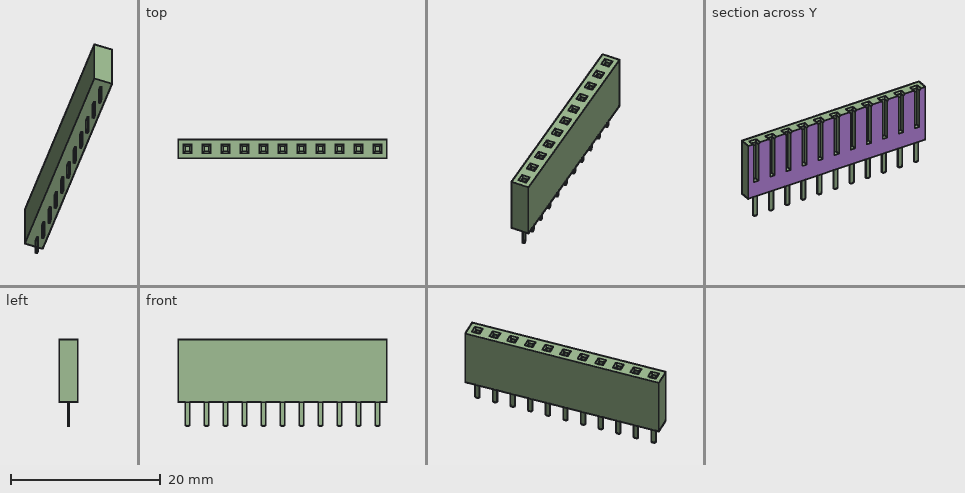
import cadquery as cq

contact_count = 11
pitch = 2.54
housing_length = contact_count * pitch
housing_width = pitch
total_height = 11.6
pin_length = 3.2
housing_height = total_height - pin_length

pin_width = 0.64
pin_thickness = 0.2
pin_tip_chamfer = 0.17

socket_bore = 0.64
lead_in_depth = 0.25
socket_mouth = socket_bore + 2 * lead_in_depth
socket_depth = 6.0

contact_positions = [(i - (contact_count - 1) / 2) * pitch for i in range(contact_count)]


def make_housing():
    """Plain rectangular block that carries the contacts."""
    return cq.Workplane("XY").box(
        housing_length, housing_width, housing_height, centered=(True, True, False)
    )


def make_pin(x):
    """Flat pin hanging below the housing, with the corners of its tip bevelled."""
    return (
        cq.Workplane("XY")
        .center(x, 0)
        .rect(pin_width, pin_thickness)
        .extrude(-pin_length)
        .faces("<Z")
        .edges("|Y")
        .chamfer(pin_tip_chamfer)
    )


def make_socket(x):
    """Space cut from the top face: a tapered lead-in above a straight square bore."""
    lead_in = (
        cq.Workplane("XY", origin=(x, 0, housing_height))
        .rect(socket_mouth, socket_mouth)
        .workplane(offset=-lead_in_depth)
        .rect(socket_bore, socket_bore)
        .loft(ruled=True)
    )
    bore = (
        cq.Workplane("XY", origin=(x, 0, housing_height))
        .rect(socket_bore, socket_bore)
        .extrude(-socket_depth)
    )
    return lead_in.union(bore)


result = make_housing()
for contact_x in contact_positions:
    result = result.union(make_pin(contact_x)).cut(make_socket(contact_x))